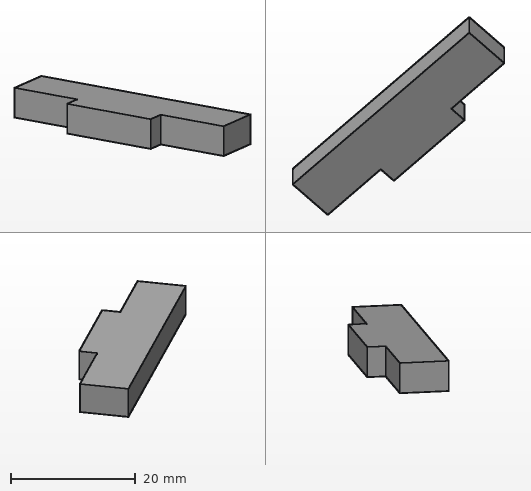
import cadquery as cq

bar_length = 40.0
bar_depth = 8.0
thickness = 5.0

tab_width = 16.0
tab_depth = 3.0

bar = cq.Workplane("XY").box(bar_length, bar_depth, thickness, centered=(True, False, False))

tab = (
    cq.Workplane("XY")
    .box(tab_width, tab_depth, thickness, centered=(True, False, False))
    .translate((0, -tab_depth, 0))
)

result = bar.union(tab).clean()